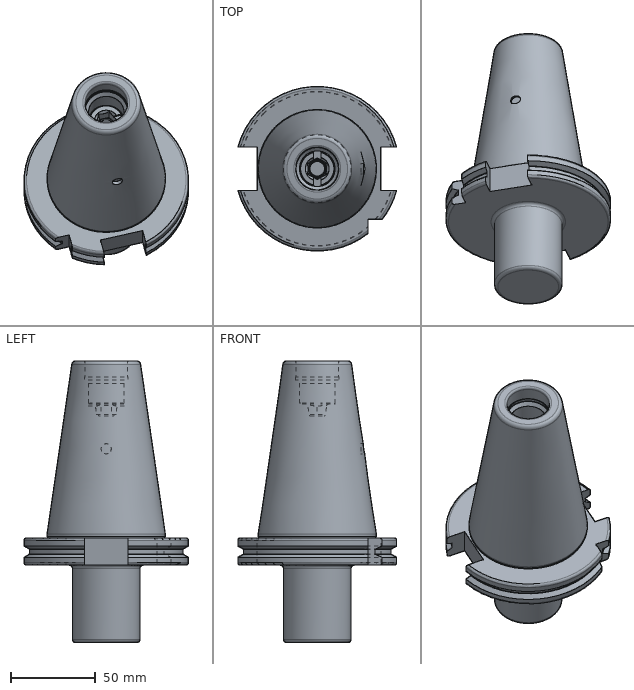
import cadquery as cq
import math


gauge_diameter = 69.9
gauge_radius = gauge_diameter / 2
taper_slope = 7 / 48
top_z = 101.7
taper_end_z = -0.8
top_round = 2.5

collar_bottom_z = -2.2
relief_radius = 34.7

flange_radius = 48.7
flange_top_z = -3.0
flange_bottom_z = -19.2
flange_round = 1.5
groove_center_z = -11.2
groove_floor_radius = 45.5
groove_floor_width = 3.0
groove_flank_angle = 30
groove_floor_round = 0.3

key_slot_width = 25.7
left_slot_distance = 35.5
right_slot_distance = 37.7
corner_notch_distance = 30.0

bottom_z = -65.0
shank_radius = 20.0
shank_round = 2.0
shank_root_round = 2.0

pilot_radius = 12.5
pilot_depth = 9.5
bore_mouth_round = 1.3
undercut_radius = 12.8
undercut_depth = 11.5
thread_radius = 10.5
thread_start_depth = undercut_depth + pilot_radius - thread_radius

plug_depth = 25.0
plug_bevel = 0.7
plug_slot_width = 4.5
plug_slot_depth = 1.7
hex_flats = 11.5
hex_depth = 6.7
hex_draft_angle = 7
hex_lead_in_radius = 7.0
hex_lead_in_depth = 2.0
hex_floor_radius = 4.3
hex_floor_cone = 0.8

side_recess_z = 49.7
side_recess_radius = 3.0
side_recess_depth = 1.7


def taper_radius(z):
    return gauge_radius - taper_slope * z


def revolve_profile(points):
    return cq.Workplane("YZ").polyline(points).close().revolve(360, (0, 0, 0), (0, 1, 0))


def cylinder(radius, low_z, high_z):
    return cq.Workplane("XY", origin=(0, 0, low_z)).circle(radius).extrude(high_z - low_z)


def make_taper():
    body = revolve_profile([
        (0, flange_bottom_z),
        (relief_radius, flange_bottom_z),
        (relief_radius, collar_bottom_z),
        (taper_radius(taper_end_z), collar_bottom_z),
        (taper_radius(taper_end_z), taper_end_z),
        (taper_radius(top_z), top_z),
        (0, top_z),
    ])
    return body.faces(">Z").edges().fillet(top_round)


def make_flange():
    flange = cylinder(flange_radius, flange_bottom_z, flange_top_z)
    flange = flange.faces("<Z or >Z").edges().fillet(flange_round)
    groove_depth = flange_radius - groove_floor_radius
    half_floor = groove_floor_width / 2
    half_mouth = half_floor + groove_depth * math.tan(math.radians(groove_flank_angle))
    groove = revolve_profile([
        (groove_floor_radius, groove_center_z - half_floor),
        (flange_radius, groove_center_z - half_mouth),
        (flange_radius, groove_center_z + half_mouth),
        (groove_floor_radius, groove_center_z + half_floor),
    ])
    floor_edges = cq.selectors.RadiusNthSelector(0)
    groove = groove.edges(floor_edges).fillet(groove_floor_round)
    return flange.cut(groove)


def flange_cutter(x_min, x_max, y_min, y_max):
    height = flange_top_z - flange_bottom_z
    return (
        cq.Workplane("XY", origin=(0, 0, flange_bottom_z))
        .moveTo(x_min, y_min)
        .lineTo(x_max, y_min)
        .lineTo(x_max, y_max)
        .lineTo(x_min, y_max)
        .close()
        .extrude(height)
    )


def make_flange_cutouts():
    half_slot = key_slot_width / 2
    left_slot = flange_cutter(-flange_radius, -left_slot_distance, -half_slot, half_slot)
    right_slot = flange_cutter(right_slot_distance, flange_radius, -half_slot, half_slot)
    corner_notch = flange_cutter(
        corner_notch_distance, flange_radius, -flange_radius, -corner_notch_distance
    )
    return left_slot.union(right_slot).union(corner_notch)


def make_shank():
    shank = cylinder(shank_radius, bottom_z, flange_bottom_z)
    return shank.faces("<Z").edges().fillet(shank_round)


def make_shank_root():
    """Concave ring that blends the shank into the underside of the flange."""
    outer_radius = shank_radius + shank_root_round
    low_z = flange_bottom_z - shank_root_round
    arc_offset = shank_root_round * (1 - math.sqrt(0.5))
    return (
        cq.Workplane("YZ")
        .moveTo(0, low_z)
        .lineTo(shank_radius, low_z)
        .threePointArc(
            (shank_radius + arc_offset, flange_bottom_z - arc_offset),
            (outer_radius, flange_bottom_z),
        )
        .lineTo(0, flange_bottom_z)
        .close()
        .revolve(360, (0, 0, 0), (0, 1, 0))
    )


def make_bore():
    """Pilot bore with undercut, conical lead-in and threaded bore down to the plug."""
    plug_z = top_z - plug_depth
    mouth_radius = pilot_radius + bore_mouth_round
    arc_offset = bore_mouth_round * (1 - math.sqrt(0.5))
    return (
        cq.Workplane("YZ")
        .moveTo(0, top_z)
        .lineTo(mouth_radius, top_z)
        .threePointArc(
            (pilot_radius + arc_offset, top_z - arc_offset),
            (pilot_radius, top_z - bore_mouth_round),
        )
        .lineTo(pilot_radius, top_z - pilot_depth)
        .lineTo(undercut_radius, top_z - pilot_depth)
        .lineTo(undercut_radius, top_z - undercut_depth)
        .lineTo(pilot_radius, top_z - undercut_depth)
        .lineTo(thread_radius, top_z - thread_start_depth)
        .lineTo(thread_radius, plug_z - plug_bevel)
        .lineTo(thread_radius - plug_bevel, plug_z)
        .lineTo(0, plug_z)
        .close()
        .revolve(360, (0, 0, 0), (0, 1, 0))
    )


def make_plug_drive():
    """Screwdriver slot along Y and hexagon socket in the face of the plug."""
    plug_z = top_z - plug_depth
    slot = (
        cq.Workplane("XY", origin=(0, 0, plug_z))
        .rect(plug_slot_width, 2 * thread_radius)
        .extrude(-plug_slot_depth)
        .intersect(cylinder(thread_radius, plug_z - plug_slot_depth, plug_z))
    )
    hexagon = (
        cq.Workplane("XY", origin=(0, 0, plug_z))
        .polygon(6, hex_flats, circumscribed=True)
        .extrude(-hex_depth, taper=hex_draft_angle)
    )
    lead_in = revolve_profile([
        (0, plug_z),
        (hex_lead_in_radius, plug_z),
        (hex_lead_in_radius - hex_lead_in_depth, plug_z - hex_lead_in_depth),
        (0, plug_z - hex_lead_in_depth),
    ])
    floor_z = plug_z - hex_depth
    hex_bottom_flats = hex_flats - 2 * hex_depth * math.tan(math.radians(hex_draft_angle))
    hex_floor = revolve_profile([
        (0, floor_z),
        (hex_bottom_flats / 2, floor_z),
        (hex_floor_radius, floor_z - hex_floor_cone),
        (0, floor_z - hex_floor_cone),
    ])
    return slot.union(hexagon).union(lead_in).union(hex_floor)


def make_side_recess():
    surface_x = taper_radius(side_recess_z)
    return (
        cq.Workplane("YZ", origin=(surface_x - side_recess_depth, 0, side_recess_z))
        .circle(side_recess_radius)
        .extrude(2 * side_recess_depth)
    )


holder = make_taper().union(make_flange().cut(make_flange_cutouts()))
holder = holder.union(make_shank()).union(make_shank_root())
holder = holder.cut(make_bore()).cut(make_plug_drive())
result = holder.cut(make_side_recess())